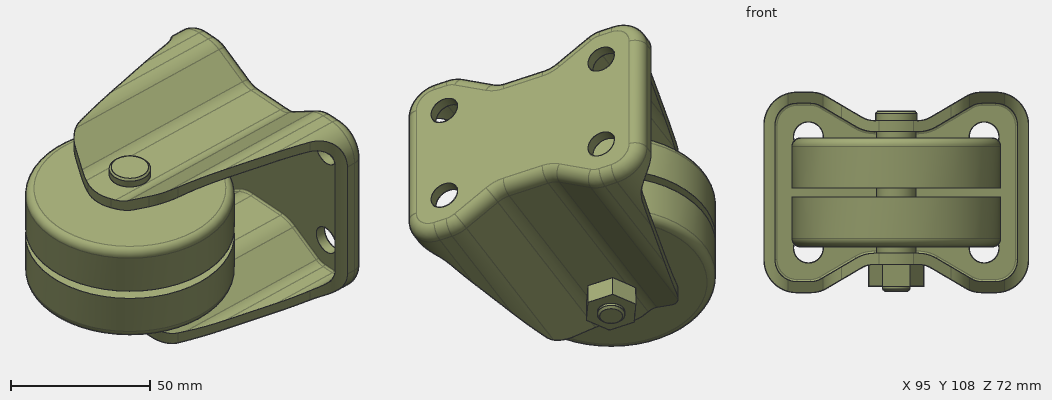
import cadquery as cq


overall_depth = 108.0

half_width = 47.5
overall_height = 72.0
half_height = overall_height / 2
waist_half_height = 25.8
shoulder_x = 27.6
waist_x = 10.3
corner_radius = 11.9
shoulder_radius = 11.3
waist_radius = 9.0
wall = 4.0
back_radius = 4.8

rim_depth = 8.2
flare_radius = 15.0
flare_end = (38.8, -18.4)
arm_corner = (25.0, -76.7)
arm_corner_radius = 12.0
arm_tip_y = -88.1
arm_tip_radius = 15.0

hole_diameter = 10.6
hole_spacing_x = 63.1
hole_spacing_z = 40.0

wheel_radius = 37.5
wheel_half_width = 19.5
wheel_half_gap = 1.6
wheel_edge_radius = 3.0
axle_y = wheel_radius - overall_depth

hub_radius = 7.1
head_radius = 7.5
head_height = 3.3
head_chamfer = 0.8
nut_across_corners = 19.9
nut_height = 7.9
bolt_radius = 5.0
bolt_overhang = 1.8
bolt_chamfer = 0.9


def round_corners(body, centres, radius):
    """Fillet the straight edges whose midpoints are nearest the given centres."""
    for centre in centres:
        body = body.edges(cq.NearestToPointSelector(centre)).fillet(radius)
    return body


def make_channel():
    """Hollow bow-tie box, open at the wheel end."""
    depth = -arm_tip_y
    quarter = [(half_width, half_height), (shoulder_x, half_height), (waist_x, waist_half_height)]
    upper = quarter + [(-x, z) for x, z in reversed(quarter)]
    lower = [(-x, -z) for x, z in upper]
    body = cq.Workplane("XZ").polyline(upper + lower).close().extrude(depth)

    radii = (corner_radius, shoulder_radius, waist_radius)
    for (x, z), radius in zip(quarter, radii):
        centres = [(sx * x, -depth / 2, sz * z) for sx in (1, -1) for sz in (1, -1)]
        body = round_corners(body, centres, radius)

    body = body.faces(">Y").edges().fillet(back_radius)
    return body.faces("<Y").shell(-wall)


def make_arm_outline():
    """Tall prism with the side outline of the arms, used to trim the channel."""
    flare_x, flare_y = flare_end
    corner_x, corner_y = arm_corner
    prism = (
        cq.Workplane("XY")
        .moveTo(-half_width, 0)
        .lineTo(half_width, 0)
        .lineTo(half_width, -rim_depth)
        .radiusArc((flare_x, flare_y), -flare_radius)
        .lineTo(corner_x, corner_y)
        .lineTo(0, arm_tip_y)
        .lineTo(-corner_x, corner_y)
        .lineTo(-flare_x, flare_y)
        .radiusArc((-half_width, -rim_depth), -flare_radius)
        .close()
        .extrude(half_height, both=True)
    )
    corners = [(corner_x, corner_y, 0), (-corner_x, corner_y, 0)]
    prism = round_corners(prism, corners, arm_corner_radius)
    return round_corners(prism, [(0, arm_tip_y, 0)], arm_tip_radius)


def make_bracket():
    """Trimmed channel with its four mounting holes."""
    holes = (
        cq.Workplane("XZ")
        .rect(hole_spacing_x, hole_spacing_z, forConstruction=True)
        .vertices()
        .circle(hole_diameter / 2)
        .extrude(2 * wall, both=True)
    )
    return make_channel().intersect(make_arm_outline()).cut(holes)


def at_axle(z):
    """Workplane centred on the axle at height z."""
    return cq.Workplane("XY", origin=(0, axle_y, z))


def make_wheels():
    """Two discs with rounded outer rims and a gap between them."""
    upper = (
        at_axle(wheel_half_gap)
        .circle(wheel_radius)
        .extrude(wheel_half_width - wheel_half_gap)
        .faces(">Z")
        .edges()
        .fillet(wheel_edge_radius)
    )
    return upper.union(upper.mirror("XY"))


def make_axle():
    """Hub between the arms, head on the upper arm, nut and bolt end on the lower arm."""
    arm_face = waist_half_height
    inner_face = arm_face - wall
    hub = at_axle(-inner_face).circle(hub_radius).extrude(2 * inner_face)
    head = (
        at_axle(inner_face)
        .circle(head_radius)
        .extrude(wall + head_height)
        .faces(">Z")
        .chamfer(head_chamfer)
    )
    nut = at_axle(-arm_face).polygon(6, nut_across_corners).extrude(-nut_height)
    bolt = (
        at_axle(-inner_face)
        .circle(bolt_radius)
        .extrude(-(wall + nut_height + bolt_overhang))
        .faces("<Z")
        .chamfer(bolt_chamfer)
    )
    return hub.union(head).union(nut).union(bolt)


result = make_bracket().union(make_wheels()).union(make_axle())